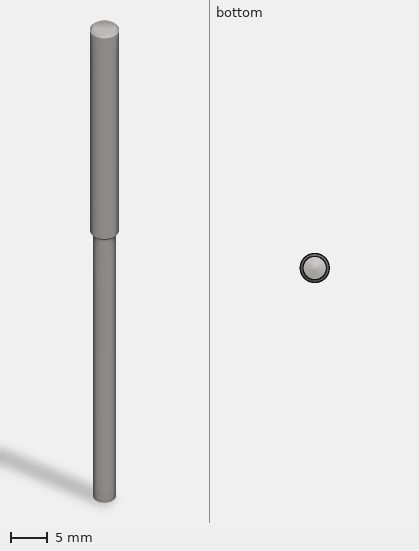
import cadquery as cq
import math

total_length = 81.0

shank_diameter = 4.0
shank_length = 35.3
shank_chamfer = 0.35
shoulder_height = 0.5

tip_diameter = 3.2
tip_length = 36.5
point_angle = 140.0

shank_radius = shank_diameter / 2
shank_end_radius = shank_radius - shank_chamfer
tip_radius = tip_diameter / 2
point_height = tip_radius / math.tan(math.radians(point_angle / 2))
shank_bottom = total_length - shank_length


def make_shank():
    """Shank with a chamfered top and a conical shoulder down to a neck that meets the tip."""
    profile = (
        cq.Workplane("XZ")
        .moveTo(0, tip_length)
        .lineTo(tip_radius, tip_length)
        .lineTo(tip_radius, shank_bottom)
        .lineTo(shank_radius, shank_bottom + shoulder_height)
        .lineTo(shank_radius, total_length - shank_chamfer)
        .lineTo(shank_end_radius, total_length)
        .lineTo(0, total_length)
        .close()
    )
    return profile.revolve(360, (0, 0, 0), (0, 1, 0))


def make_tip():
    """Cutting tip: a plain rod ending in a conical point."""
    profile = (
        cq.Workplane("YZ")
        .moveTo(0, 0)
        .lineTo(tip_radius, point_height)
        .lineTo(tip_radius, tip_length)
        .lineTo(0, tip_length)
        .close()
    )
    return profile.revolve(360, (0, 0, 0), (0, 1, 0))


shank = make_shank()
tip = make_tip()

result = cq.Compound.makeCompound([shank.val(), tip.val()])